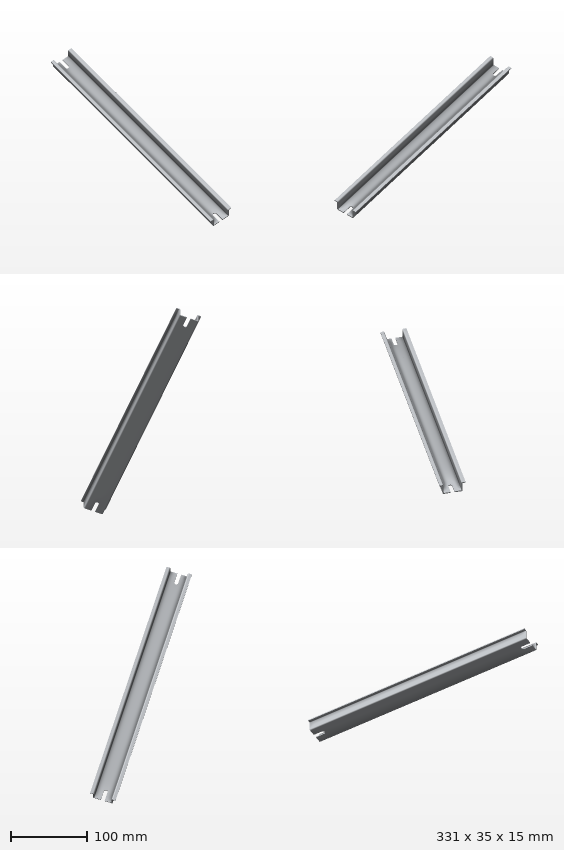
import cadquery as cq

LENGTH = 331.0
OVERALL_WIDTH = 35.0
HEIGHT = 15.0
CHANNEL_WIDTH = 27.0
THICKNESS = 1.5
INNER_BEND_RADIUS = 0.7
OUTER_BEND_RADIUS = 1.8

SLOT_WIDTH = 5.3
SLOT_DEPTH = 15.0


def box_between(y_min, y_max, z_min, z_max):
    """Full-length block spanning the given Y and Z limits, centred on X."""
    return cq.Workplane("XY").box(LENGTH, y_max - y_min, z_max - z_min).translate(
        (0, (y_min + y_max) / 2, (z_min + z_max) / 2)
    )


def make_rail():
    """Bent-sheet hat section: floor, two walls and two outward flanges."""
    half_channel = CHANNEL_WIDTH / 2
    half_cavity = half_channel - THICKNESS
    half_width = OVERALL_WIDTH / 2
    flange_underside = HEIGHT - THICKNESS

    channel = box_between(-half_channel, half_channel, 0, HEIGHT)
    flanges = box_between(-half_width, half_width, flange_underside, HEIGHT)
    cavity = box_between(-half_cavity, half_cavity, THICKNESS, HEIGHT)
    rail = channel.union(flanges).cut(cavity)

    for side in (-1, 1):
        outer_y = side * half_channel
        inner_y = side * half_cavity
        bends = (
            (outer_y, 0, OUTER_BEND_RADIUS),
            (inner_y, THICKNESS, INNER_BEND_RADIUS),
            (outer_y, flange_underside, INNER_BEND_RADIUS),
            (inner_y, HEIGHT, OUTER_BEND_RADIUS),
        )
        for y, z, radius in bends:
            corner = cq.selectors.NearestToPointSelector((0, y, z))
            rail = rail.edges("|X").edges(corner).fillet(radius)
    return rail


def make_end_slot(side):
    """Cutter for the round-ended slot open at the -X (-1) or +X (+1) end."""
    end_x = side * LENGTH / 2
    tip_x = end_x - side * SLOT_DEPTH
    half_slot = SLOT_WIDTH / 2
    arc_start_x = tip_x + side * half_slot
    return (
        cq.Workplane("XY")
        .moveTo(end_x, -half_slot)
        .lineTo(arc_start_x, -half_slot)
        .threePointArc((tip_x, 0), (arc_start_x, half_slot))
        .lineTo(end_x, half_slot)
        .close()
        .extrude(THICKNESS)
    )


result = make_rail()
for end in (-1, 1):
    result = result.cut(make_end_slot(end))